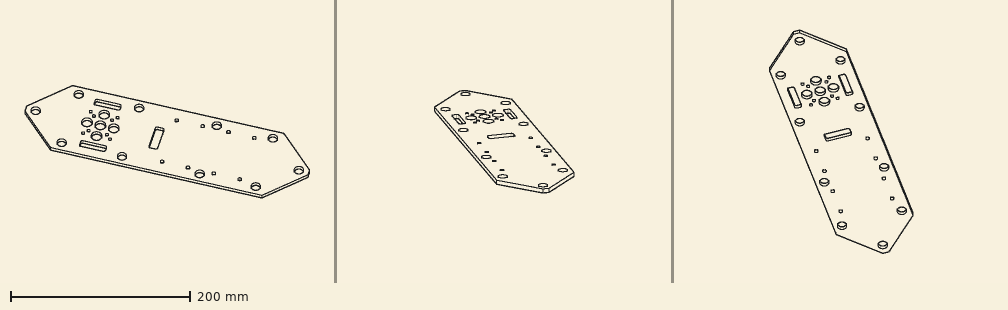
import cadquery as cq
import math

thickness = 5.0
half_width = 45.0
shoulder_x = 122.5
tip_cut = 5.0
tip_half_width = tip_cut * math.sin(math.radians(45))
tip_x = shoulder_x + half_width - tip_half_width

mount_diameter = 10.5
mount_y = 35.0
mount_xs = [-112.5, -42.5, 47.5, 112.5]
tip_mount_x = 152.5

screw_diameter = 4.0
screw_y = 30.0
screw_start_x = 2.5
screw_pitch = 30.0
screws_per_row = 4

hub_x = -77.5
hub_diameter = 12.0
hub_screw_diameter = 3.3
hub_screw_radii = [15.0, 22.0]
hub_spacing = hub_screw_radii[1] * math.cos(math.radians(45))

slot_length = 30.0
slot_corner = 2.0
side_slot_width = 8.0
side_slot_y = 30.0
cross_slot_width = 10.0
cross_slot_x = -12.5


def make_plate():
    outline = [
        (-tip_x, -tip_half_width),
        (-shoulder_x, -half_width),
        (shoulder_x, -half_width),
        (tip_x, -tip_half_width),
        (tip_x, tip_half_width),
        (shoulder_x, half_width),
        (-shoulder_x, half_width),
        (-tip_x, tip_half_width),
    ]
    return cq.Workplane("XY").polyline(outline).close().extrude(thickness)


def round_cutters(points, diameter):
    return cq.Workplane("XY").pushPoints(points).circle(diameter / 2).extrude(thickness)


def slot_cutters(points, size_x, size_y):
    slots = cq.Workplane("XY").pushPoints(points).rect(size_x, size_y).extrude(thickness)
    return slots.edges("|Z").fillet(slot_corner)


def mirrored_rows(xs, y):
    return [(x, side * y) for x in xs for side in (-1, 1)]


def mount_points():
    return mirrored_rows(mount_xs, mount_y) + [(-tip_mount_x, 0), (tip_mount_x, 0)]


def screw_points():
    xs = [screw_start_x + i * screw_pitch for i in range(screws_per_row)]
    return mirrored_rows(xs, screw_y)


def hub_points():
    return [
        (hub_x, 0),
        (hub_x - hub_spacing, 0),
        (hub_x + hub_spacing, 0),
        (hub_x, -hub_spacing),
        (hub_x, hub_spacing),
    ]


def hub_screw_points():
    points = []
    for radius in hub_screw_radii:
        for angle in (45, 135, 225, 315):
            direction = math.radians(angle)
            points.append((hub_x + radius * math.cos(direction), radius * math.sin(direction)))
    return points


side_slot_points = mirrored_rows([hub_x], side_slot_y)
cross_slot_points = [(cross_slot_x, 0)]

result = (
    make_plate()
    .cut(round_cutters(mount_points(), mount_diameter))
    .cut(round_cutters(screw_points(), screw_diameter))
    .cut(round_cutters(hub_points(), hub_diameter))
    .cut(round_cutters(hub_screw_points(), hub_screw_diameter))
    .cut(slot_cutters(side_slot_points, slot_length, side_slot_width))
    .cut(slot_cutters(cross_slot_points, cross_slot_width, slot_length))
)